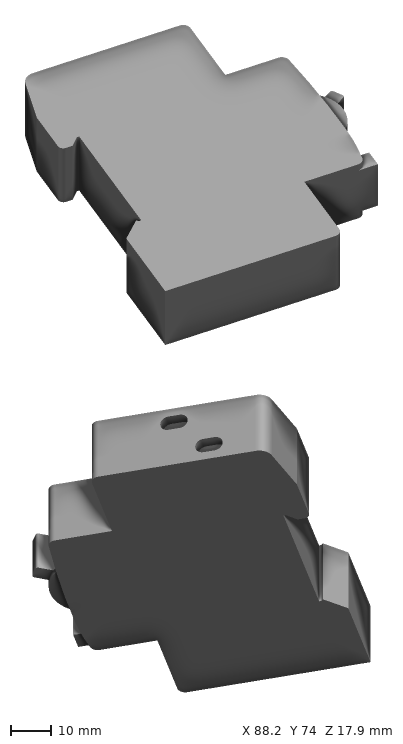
import cadquery as cq
WIDTH = 88.2
THICKNESS = 17.9

SHOULDER_HEIGHT = 49.2
NECK_WIDTH = 44.8
NECK_LEFT = (WIDTH - NECK_WIDTH) / 2
NECK_RIGHT = NECK_LEFT + NECK_WIDTH
SHOULDER_RADIUS = 2.0
NECK_RADIUS = 2.0

CROWN_LEFT_HEIGHT = 65.8
CROWN_RIGHT_HEIGHT = 65.7
CROWN_MIDDLE = (37.9, 66.9)
CROWN_BREAK = (53.8, 67.2)

SLOPE_START_HEIGHT = 3.8
SLOPE_END_X = 15.4
SLOPE_RADIUS = 3.5

RAIL_WIDTH = 35.1
RAIL_DEPTH = 6.35
RAIL_LEFT = (WIDTH - RAIL_WIDTH) / 2
RAIL_RIGHT = RAIL_LEFT + RAIL_WIDTH
RAIL_LIP = 0.6
HOOK_OVERLAP = 2.4
HOOK_RADIUS = 1.5
CATCH_OVERLAP = 0.5
CATCH_END_X = 66.15

PIVOT_X = WIDTH / 2
PIVOT_Y = 60.9
DOME_RADIUS = 10.1
DOME_THICKNESS = 13.8
LEVER_TILT = 31.0
LEVER_REACH = 14.4
LEVER_WIDTH = 4.0
LEVER_THICKNESS = 10.9
LEVER_EDGE_RADIUS = 0.6

BLOCK_WIDTH = 4.9
BLOCK_TOP = 69.6
BLOCK_THICKNESS = DOME_THICKNESS

SLOT_LENGTH = 7.1
SLOT_WIDTH = 4.2
SLOT_DEPTH = 3.0
SLOT_MID_Y = 23.1
SLOT_STEP_Y = 4.5
SLOT_STEP_Z = 4.5


def slab(outline, thickness):
    """Closed XY outline extruded evenly about the mid-thickness plane."""
    return outline.extrude(thickness / 2, both=True)


def round_edge(body, x, y, radius):
    """Fillet the upright edge nearest to (x, y)."""
    return body.edges("|Z").edges(cq.NearestToPointSelector((x, y, 0))).fillet(radius)


def housing():
    hook_x = RAIL_LEFT + HOOK_OVERLAP
    hook_shoulder = RAIL_DEPTH - RAIL_LIP - HOOK_OVERLAP
    catch_x = RAIL_RIGHT - CATCH_OVERLAP
    catch_y = RAIL_DEPTH - RAIL_LIP - CATCH_OVERLAP
    outline = (
        cq.Workplane("XY")
        .moveTo(NECK_LEFT, CROWN_LEFT_HEIGHT)
        .threePointArc(CROWN_MIDDLE, CROWN_BREAK)
        .tangentArcPoint((NECK_RIGHT, CROWN_RIGHT_HEIGHT), relative=False)
        .lineTo(NECK_RIGHT, SHOULDER_HEIGHT)
        .lineTo(WIDTH, SHOULDER_HEIGHT)
        .lineTo(WIDTH, 0)
        .lineTo(CATCH_END_X, 0)
        .lineTo(catch_x, catch_y)
        .lineTo(RAIL_RIGHT, RAIL_DEPTH - RAIL_LIP)
        .lineTo(RAIL_RIGHT, RAIL_DEPTH)
        .lineTo(RAIL_LEFT, RAIL_DEPTH)
        .lineTo(RAIL_LEFT, RAIL_DEPTH - RAIL_LIP)
        .lineTo(hook_x, hook_shoulder)
        .lineTo(hook_x, 0)
        .lineTo(SLOPE_END_X, 0)
        .lineTo(0, SLOPE_START_HEIGHT)
        .lineTo(0, SHOULDER_HEIGHT)
        .lineTo(NECK_LEFT, SHOULDER_HEIGHT)
        .close()
    )
    body = slab(outline, THICKNESS)
    body = round_edge(body, NECK_LEFT, CROWN_LEFT_HEIGHT, NECK_RADIUS)
    body = round_edge(body, NECK_RIGHT, CROWN_RIGHT_HEIGHT, NECK_RADIUS)
    body = round_edge(body, 0, SHOULDER_HEIGHT, SHOULDER_RADIUS)
    body = round_edge(body, WIDTH, SHOULDER_HEIGHT, SHOULDER_RADIUS)
    body = round_edge(body, 0, SLOPE_START_HEIGHT, SLOPE_RADIUS)
    return round_edge(body, hook_x, 0, HOOK_RADIUS)


def toggle():
    dome = slab(cq.Workplane("XY").circle(DOME_RADIUS), DOME_THICKNESS)
    relief = slab(
        cq.Workplane("XY")
        .moveTo(-DOME_RADIUS, 0)
        .rect(DOME_RADIUS - LEVER_WIDTH / 2, DOME_RADIUS, centered=False),
        LEVER_THICKNESS,
    )
    lever = slab(
        cq.Workplane("XY").center(0, LEVER_REACH / 2).rect(LEVER_WIDTH, LEVER_REACH),
        LEVER_THICKNESS,
    )
    lever = lever.faces(">Y").edges("|Z").fillet(LEVER_EDGE_RADIUS)
    upright = dome.cut(relief).union(lever)
    return upright.rotate((0, 0, 0), (0, 0, 1), LEVER_TILT).translate((PIVOT_X, PIVOT_Y, 0))


def indicator_block():
    height = BLOCK_TOP - SHOULDER_HEIGHT
    outline = cq.Workplane("XY").moveTo(NECK_RIGHT - BLOCK_WIDTH, SHOULDER_HEIGHT)
    return slab(outline.rect(BLOCK_WIDTH, height, centered=False), BLOCK_THICKNESS)


def terminal_slots():
    centres = [(SLOT_MID_Y + side * SLOT_STEP_Y, side * SLOT_STEP_Z) for side in (-1, 1)]
    return cq.Workplane("YZ").pushPoints(centres).slot2D(SLOT_LENGTH, SLOT_WIDTH).extrude(SLOT_DEPTH)


result = housing().union(toggle()).union(indicator_block()).cut(terminal_slots())